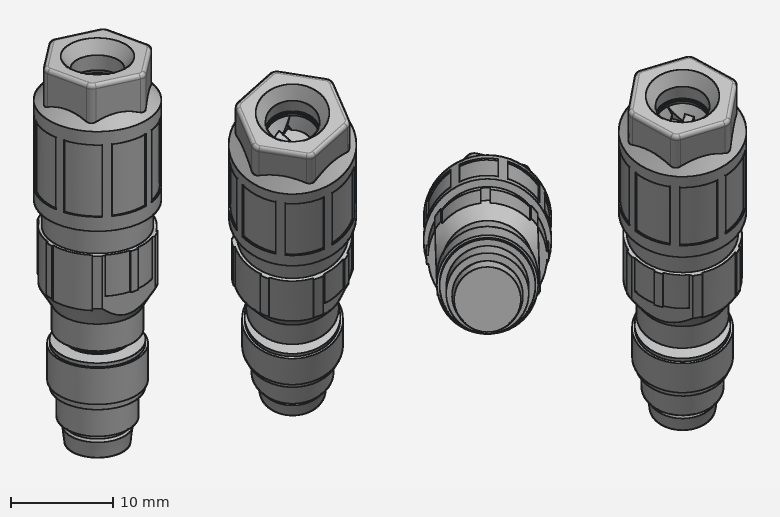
import cadquery as cq
import math

FRAME_ANGLE = 14.0

TOTAL_HEIGHT = 43.35
HEX_FLATS = 10.05
HEX_HALF_ANGLE = 180 / 6
HEX_CORNER_FILLET = 0.95
HEX_TOP_FILLET = 0.45
BARREL_RADIUS = 6.25
BARREL_BOTTOM = 27.22
BARREL_TOP = 38.45
SHOULDER_RADIUS = 4.75
SHOULDER_TOP = BARREL_TOP + BARREL_RADIUS - SHOULDER_RADIUS

RECESS_COUNT = 8
RECESS_DEPTH = 0.17
RECESS_SPAN = 36.2
RECESS_FIRST_ANGLE = -82.2
RECESS_BOTTOM = 28.83
RECESS_TOP = 36.95

UPPER_NECK_RADIUS = 5.45
GRIP_BOTTOM = 15.8
GRIP_TOP = 24.28
GRIP_RADIUS = 5.8
RIB_RADIUS = 6.0
CONE_END_Z = 18.05
MIDDLE_RADIUS = 4.5
MIDDLE_BOTTOM = 12.75
RIB_WIDTH = 0.9
CORNER_RIB_START = 47.5
CORNER_RIB_END = 70.0
FLAT_DISTANCE = 5.05
FLAT_TOP = 19.65
LOWER_NECK_RADIUS = 3.0

CORE_RADIUS = 3.25
RING_BOTTOM = 2.85
RING_TOP = 11.65
CORE_TOP = 11.75
RING_THREAD_RADIUS = 4.05
RING_THREAD_TOP = 6.25
RING_COLLAR_RADIUS = 4.7
RING_GRIP_RADIUS = 4.95
RING_GRIP_BOTTOM = 7.0
RING_GRIP_TOP = 11.05
RING_COLLAR_TOP = 11.5

TIP_BEAD_RADIUS = 3.45
TIP_BEAD_Z = 1.85
TIP_NECK_Z = 2.12

ENTRY_RADIUS = 3.6
BORE_RADIUS = 2.65
ENTRY_DEPTH = 1.4
GROOVE_RADIUS = 2.75
GROOVE_TOP_DEPTH = 3.1
GROOVE_BOTTOM_DEPTH = 3.42
BORE_DEPTH = 3.73
FUNNEL_RADIUS = 2.0
FUNNEL_DEPTH = 5.2
POCKET_LEFT = 1.78
POCKET_RIGHT = 1.45
POCKET_WIDTH = 3.45
KEY_LENGTH = 1.75
KEY_HEIGHT = 0.85
KEY_TIP_WIDTH = 0.55
KEY_ROOT_WIDTH = 1.0


def revolved(profile):
    """Solid of revolution about Z from (radius, z) points."""
    return cq.Workplane("XZ").polyline(profile).close().revolve(360, (0, 0, 0), (0, 1, 0))


def polar(radius, angle):
    return (radius * math.cos(math.radians(angle)), radius * math.sin(math.radians(angle)))


def sector(inner, outer, start, end, bottom, top):
    """Piece of a tube between two radii, two angles and two heights."""
    middle = (start + end) / 2
    return (
        cq.Workplane("XY", origin=(0, 0, bottom))
        .moveTo(*polar(inner, start))
        .lineTo(*polar(outer, start))
        .threePointArc(polar(outer, middle), polar(outer, end))
        .lineTo(*polar(inner, end))
        .threePointArc(polar(inner, middle), polar(inner, start))
        .close()
        .extrude(top - bottom)
    )


def hex_head():
    corner_diameter = HEX_FLATS / math.cos(math.radians(HEX_HALF_ANGLE))
    return (
        cq.Workplane("XY", origin=(0, 0, BARREL_TOP))
        .polygon(6, corner_diameter)
        .extrude(TOTAL_HEIGHT - BARREL_TOP)
        .rotate((0, 0, 0), (0, 0, 1), HEX_HALF_ANGLE)
        .edges("|Z")
        .fillet(HEX_CORNER_FILLET)
        .faces(">Z")
        .edges()
        .fillet(HEX_TOP_FILLET)
    )


def barrel():
    body = revolved([
        (0, BARREL_BOTTOM),
        (BARREL_RADIUS, BARREL_BOTTOM),
        (BARREL_RADIUS, BARREL_TOP),
        (SHOULDER_RADIUS, SHOULDER_TOP),
        (0, SHOULDER_TOP),
    ])
    for index in range(RECESS_COUNT):
        angle = RECESS_FIRST_ANGLE + index * 360 / RECESS_COUNT
        body = body.cut(sector(
            BARREL_RADIUS - RECESS_DEPTH, BARREL_RADIUS + RECESS_DEPTH,
            angle - RECESS_SPAN / 2, angle + RECESS_SPAN / 2,
            RECESS_BOTTOM, RECESS_TOP,
        ))
    return body


def grip_blank(radius):
    """Cylinder of the given radius running down into the cone below the grip."""
    slope = (CONE_END_Z - GRIP_BOTTOM) / (GRIP_RADIUS - MIDDLE_RADIUS)
    cone_top = GRIP_BOTTOM + (radius - MIDDLE_RADIUS) * slope
    return revolved([
        (0, GRIP_BOTTOM),
        (MIDDLE_RADIUS, GRIP_BOTTOM),
        (radius, cone_top),
        (radius, GRIP_TOP),
        (0, GRIP_TOP),
    ])


def grip():
    """Grip along local axes: flats face +X and -X, plain rib sides face +Y and -Y."""
    height = GRIP_TOP - GRIP_BOTTOM
    oversize = 4 * RIB_RADIUS
    base = cq.Workplane("XY", origin=(0, 0, GRIP_BOTTOM))
    flat_cheek = base.rect(2 * FLAT_DISTANCE, oversize).extrude(height)
    below_flat_top = base.circle(oversize / 2).extrude(FLAT_TOP - GRIP_BOTTOM)

    middle_ribs = base.rect(RIB_WIDTH, oversize).extrude(height)
    middle_ribs = middle_ribs.union(base.rect(oversize, RIB_WIDTH).extrude(height))
    corner_ribs = cq.Workplane("XY")
    for side_angle in (90, -90):
        for turn in (-1, 1):
            start = side_angle + turn * CORNER_RIB_START
            end = side_angle + turn * CORNER_RIB_END
            corner_ribs = corner_ribs.add(sector(
                MIDDLE_RADIUS / 2, oversize, start, end, GRIP_BOTTOM, GRIP_TOP
            ))
    corner_ribs = corner_ribs.combine().intersect(flat_cheek)

    ribs = grip_blank(RIB_RADIUS).intersect(middle_ribs.union(corner_ribs))
    body = grip_blank(GRIP_RADIUS).union(ribs)
    return body.cut(below_flat_top.cut(flat_cheek)).rotate((0, 0, 0), (0, 0, 1), FRAME_ANGLE)


def core():
    """Plug tip, the core inside the coupling ring, and the necks up to the barrel."""
    return revolved([
        (0, 0),
        (CORE_RADIUS, 0),
        (TIP_BEAD_RADIUS, TIP_BEAD_Z),
        (CORE_RADIUS, TIP_NECK_Z),
        (CORE_RADIUS, CORE_TOP),
        (LOWER_NECK_RADIUS, CORE_TOP),
        (LOWER_NECK_RADIUS, MIDDLE_BOTTOM),
        (MIDDLE_RADIUS, MIDDLE_BOTTOM),
        (MIDDLE_RADIUS, GRIP_TOP),
        (UPPER_NECK_RADIUS, GRIP_TOP),
        (UPPER_NECK_RADIUS, BARREL_BOTTOM),
        (0, BARREL_BOTTOM),
    ])


def entry_key(floor_z):
    """Key that widens and rises from the axis to the sloping wall."""
    plan = (
        cq.Workplane("XY", origin=(0, 0, floor_z))
        .polyline([
            (0, -KEY_TIP_WIDTH / 2),
            (KEY_LENGTH, -KEY_ROOT_WIDTH / 2),
            (KEY_LENGTH, KEY_ROOT_WIDTH / 2),
            (0, KEY_TIP_WIDTH / 2),
        ])
        .close()
        .extrude(KEY_HEIGHT)
    )
    ramp = (
        cq.Workplane("XZ")
        .polyline([(0, floor_z), (KEY_LENGTH, floor_z), (KEY_LENGTH, floor_z + KEY_HEIGHT)])
        .close()
        .extrude(KEY_ROOT_WIDTH / 2, both=True)
    )
    return plan.intersect(ramp)


def sloping_wall(floor_z, bore_bottom):
    """Stretch of conical wall that stands on the floor beyond the right side of the pocket."""
    height = bore_bottom - floor_z
    block = (
        cq.Workplane("XY", origin=(POCKET_RIGHT + BORE_RADIUS / 2, 0, floor_z))
        .rect(BORE_RADIUS, 2 * BORE_RADIUS)
        .extrude(height)
    )
    cone = revolved([
        (0, floor_z),
        (POCKET_RIGHT, floor_z),
        (BORE_RADIUS, bore_bottom),
        (0, bore_bottom),
    ])
    return block.cut(cone)


def cable_entry():
    """Void of the cable entry: countersink, grooved bore, funnel and square-cornered floor."""
    floor_z = TOTAL_HEIGHT - FUNNEL_DEPTH
    bore_bottom = TOTAL_HEIGHT - BORE_DEPTH
    void = revolved([
        (0, floor_z),
        (FUNNEL_RADIUS, floor_z),
        (BORE_RADIUS, bore_bottom),
        (BORE_RADIUS, TOTAL_HEIGHT - GROOVE_BOTTOM_DEPTH),
        (GROOVE_RADIUS, TOTAL_HEIGHT - GROOVE_BOTTOM_DEPTH),
        (GROOVE_RADIUS, TOTAL_HEIGHT - GROOVE_TOP_DEPTH),
        (BORE_RADIUS, TOTAL_HEIGHT - GROOVE_TOP_DEPTH),
        (BORE_RADIUS, TOTAL_HEIGHT - ENTRY_DEPTH),
        (ENTRY_RADIUS, TOTAL_HEIGHT),
        (0, TOTAL_HEIGHT),
    ])
    pocket = (
        cq.Workplane("XY", origin=((POCKET_RIGHT - POCKET_LEFT) / 2, 0, floor_z))
        .rect(POCKET_LEFT + POCKET_RIGHT, POCKET_WIDTH)
        .extrude(bore_bottom - floor_z)
    )
    void = void.union(pocket).cut(sloping_wall(floor_z, bore_bottom)).cut(entry_key(floor_z))
    return void.rotate((0, 0, 0), (0, 0, 1), FRAME_ANGLE)


def make_housing():
    return core().union(grip()).union(barrel()).union(hex_head()).cut(cable_entry())


def make_coupling_ring():
    return revolved([
        (CORE_RADIUS, RING_BOTTOM),
        (RING_THREAD_RADIUS, RING_BOTTOM),
        (RING_THREAD_RADIUS, RING_THREAD_TOP),
        (RING_COLLAR_RADIUS, RING_THREAD_TOP),
        (RING_COLLAR_RADIUS, RING_GRIP_BOTTOM),
        (RING_GRIP_RADIUS, RING_GRIP_BOTTOM),
        (RING_GRIP_RADIUS, RING_GRIP_TOP),
        (RING_COLLAR_RADIUS, RING_GRIP_TOP),
        (RING_COLLAR_RADIUS, RING_COLLAR_TOP),
        (CORE_RADIUS, RING_TOP),
    ])


housing = make_housing()
coupling_ring = make_coupling_ring()
result = cq.Compound.makeCompound([housing.val(), coupling_ring.val()])